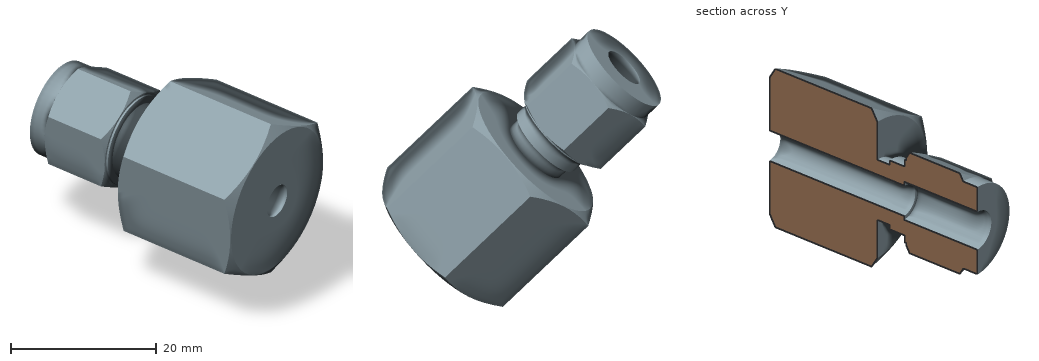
import cadquery as cq
import math


collar_end = 2.5
nut_end = 12.7
washer_end = 13.0
shoulder_end = 15.6
neck_end = 17.7
overall_length = 36.9

nut_across_flats = 14.0
body_across_flats = 22.0
body_face_diameter = 21.77
chamfer_angle = 30.0

collar_diameter = nut_across_flats
washer_diameter = 13.32
shoulder_diameter = 11.1
neck_diameter = 9.7

socket_diameter = 6.0
socket_depth = washer_end
through_diameter = 4.8


def cylinder(start, end, diameter):
    """Round section along X between two stations."""
    return cq.Workplane("YZ", origin=(start, 0, 0)).circle(diameter / 2).extrude(end - start)


def chamfered_hexagon(start, end, across_flats, face_diameter):
    """Hexagonal section with corners at +Z and -Z, chamfered by a cone at both ends."""
    across_corners = across_flats / math.cos(math.radians(30))
    hexagon = (
        cq.Workplane("YZ", origin=(start, 0, 0))
        .transformed(rotate=(0, 0, 90))
        .polygon(6, across_corners)
        .extrude(end - start)
    )
    face_radius = face_diameter / 2
    corner_radius = across_corners / 2
    chamfer_length = (corner_radius - face_radius) * math.tan(math.radians(chamfer_angle))
    turned_blank = (
        cq.Workplane("XY")
        .moveTo(start, 0)
        .lineTo(start, face_radius)
        .lineTo(start + chamfer_length, corner_radius)
        .lineTo(end - chamfer_length, corner_radius)
        .lineTo(end, face_radius)
        .lineTo(end, 0)
        .close()
        .revolve(360, (0, 0, 0), (1, 0, 0))
    )
    return hexagon.intersect(turned_blank)


collar = cylinder(0, collar_end, collar_diameter)
nut = chamfered_hexagon(collar_end, nut_end, nut_across_flats, nut_across_flats)
washer_face = cylinder(nut_end, washer_end, washer_diameter)

shoulder = cylinder(washer_end, shoulder_end, shoulder_diameter)
neck = cylinder(shoulder_end, neck_end, neck_diameter)
body = chamfered_hexagon(neck_end, overall_length, body_across_flats, body_face_diameter)

fitting = collar.union(nut).union(washer_face).union(shoulder).union(neck).union(body)

socket = cylinder(0, socket_depth, socket_diameter)
through_bore = cylinder(0, overall_length, through_diameter)

result = fitting.cut(socket).cut(through_bore)